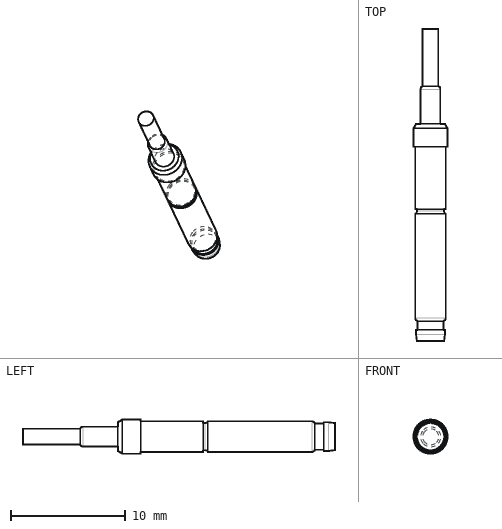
import math

import cadquery as cq

tail_diameter = 1.4
sleeve_diameter = 1.75
collar_diameter = 3.0
barrel_diameter = 2.7
groove_diameter = 2.4
neck_diameter = 2.3
tip_diameter = 2.55

tail_length = 5.0
sleeve_length = 3.3
collar_length = 2.0
rear_barrel_length = 5.45
groove_length = 0.4
front_barrel_length = 9.4
neck_length = 0.75
tip_length = 1.0

sleeve_fillet = 0.25
collar_bevel_length = 0.4
collar_bevel_depth = 0.23
barrel_fillet = 0.3
groove_arc_radius = 0.4
groove_arc_length = 0.24
tip_taper_length = 0.6
tip_taper_depth = 0.08

collar_rear = collar_length
sleeve_rear = collar_rear + sleeve_length
tail_rear = sleeve_rear + tail_length
groove_rear = -rear_barrel_length
groove_front = groove_rear - groove_length
barrel_front = groove_front - front_barrel_length
tip_rear = barrel_front - neck_length
tip_front = tip_rear - tip_length


def rod(diameter, rear, front):
    """Cylinder on the Y axis running forward (-Y) from its rear face."""
    return cq.Workplane("XZ", origin=(0, rear, 0)).circle(diameter / 2).extrude(rear - front)


def bevelled_rod(diameter, rear, front, bevelled_end, bevel_length, bevel_depth):
    """Rod narrowed by bevel_depth on the radius over bevel_length at its bevelled end."""
    radius = diameter / 2
    end_radius = radius - bevel_depth
    rear_is_bevelled = bevelled_end == rear
    bevel_start = rear - bevel_length if rear_is_bevelled else front + bevel_length
    plain_end = front if rear_is_bevelled else rear
    profile = (
        cq.Workplane("XY")
        .moveTo(0, plain_end)
        .lineTo(radius, plain_end)
        .lineTo(radius, bevel_start)
        .lineTo(end_radius, bevelled_end)
        .lineTo(0, bevelled_end)
        .close()
    )
    return profile.revolve(360, (0, 0, 0), (0, 1, 0))


def tail_and_sleeve():
    """Thin tail leaving the sleeve through the sleeve's rounded rear edge."""
    sleeve = rod(sleeve_diameter, sleeve_rear, collar_rear).faces(">Y").edges().fillet(sleeve_fillet)
    tail = rod(tail_diameter, tail_rear, collar_rear)
    return sleeve.union(tail)


def collar():
    return bevelled_rod(
        collar_diameter, collar_rear, 0, collar_rear, collar_bevel_length, collar_bevel_depth
    )


def groove_ring():
    """Ring cut from the barrel: square walls and a flat floor that curves up toward the front wall."""
    floor_radius = groove_diameter / 2
    rim_radius = barrel_diameter / 2
    arc_start = groove_front + groove_arc_length
    arc_angle = math.asin(groove_arc_length / groove_arc_radius)

    def arc_point(angle):
        rise = groove_arc_radius * (1 - math.cos(angle))
        return (floor_radius + rise, arc_start - groove_arc_radius * math.sin(angle))

    profile = (
        cq.Workplane("XY")
        .moveTo(rim_radius, groove_rear)
        .lineTo(floor_radius, groove_rear)
        .lineTo(floor_radius, arc_start)
        .threePointArc(arc_point(arc_angle / 2), arc_point(arc_angle))
        .lineTo(rim_radius, groove_front)
        .close()
    )
    return profile.revolve(360, (0, 0, 0), (0, 1, 0))


def barrel():
    body = rod(barrel_diameter, 0, barrel_front).faces("<Y").edges().fillet(barrel_fillet)
    return body.cut(groove_ring())


def neck_and_tip():
    """Neck rooted inside the barrel's rounded front edge, with the tapered tip ahead of it."""
    neck = rod(neck_diameter, barrel_front + barrel_fillet, tip_rear)
    tip = bevelled_rod(
        tip_diameter, tip_rear, tip_front, tip_front, tip_taper_length, tip_taper_depth
    )
    return neck.union(tip)


result = tail_and_sleeve().union(collar()).union(barrel()).union(neck_and_tip())